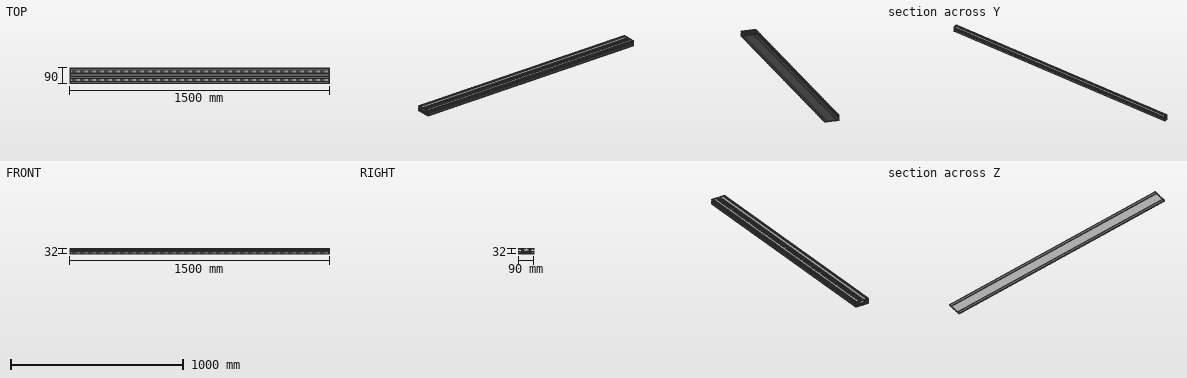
import cadquery as cq

length = 1500.0
width = 90.0
height = 32.0
corner_radius = 2.5

slot_opening = 8.2

side_slot_center = 22.4
side_slot_lip = 2.0
side_slot_depth = 17.7
side_slot_floor = 13.5
side_slot_roof = 29.5
side_slot_slope = 6.85

top_slot_lip = 2.6
top_slot_width = 33.0
top_slot_floor = 16.5
top_slot_slope = 3.0

side_chamber_wall = 2.0
side_chamber_width = 12.4
side_chamber_floor = 2.0
side_chamber_roof = 11.7
side_chamber_radius = 1.5

chamber_web = 1.1
center_chamber_floor = 4.5
center_chamber_roof = 12.0

screw_diameter = 7.3
screw_offset = 21.7
screw_center = 22.0

half_width = width / 2
mid_height = height / 2
side_chamber_outer = half_width - side_chamber_wall
side_chamber_inner = side_chamber_outer - side_chamber_width
center_chamber_width = 2 * (side_chamber_inner - chamber_web)
overcut = 1.0


def bar(y_min, y_max, z_min, z_max):
    """Full-length bar between Y limits and between heights above the underside."""
    return (
        cq.Workplane("YZ")
        .center((y_min + y_max) / 2, (z_min + z_max) / 2 - mid_height)
        .rect(y_max - y_min, z_max - z_min)
        .extrude(length / 2, both=True)
    )


def centered_bar(bar_width, z_min, z_max):
    """Full-length bar centred on the part's width."""
    return bar(-bar_width / 2, bar_width / 2, z_min, z_max)


def top_slot():
    """T-slot in the middle of the top."""
    opening = centered_bar(slot_opening, top_slot_floor, height + overcut)
    channel = centered_bar(top_slot_width, top_slot_floor, height - top_slot_lip)
    channel = channel.edges("|X and >Z").chamfer(top_slot_slope)
    return channel.union(opening)


def side_slot():
    """T-slot in the +Y side."""
    back = half_width - side_slot_depth
    opening = bar(
        half_width - side_slot_lip - overcut,
        half_width + overcut,
        side_slot_center - slot_opening / 2,
        side_slot_center + slot_opening / 2,
    )
    channel = bar(back, half_width - side_slot_lip, side_slot_floor, side_slot_roof)
    channel = channel.faces("<Y").edges(">Z").chamfer(side_slot_slope)
    return channel.union(opening)


def side_chamber():
    """Closed chamber with rounded corners below the +Y side slot."""
    chamber = bar(side_chamber_inner, side_chamber_outer, side_chamber_floor, side_chamber_roof)
    return chamber.edges("|X").fillet(side_chamber_radius)


def center_chamber():
    """Wide closed chamber below the top slot."""
    return centered_bar(center_chamber_width, center_chamber_floor, center_chamber_roof)


def screw_channel():
    """Round channel on the +Y side of the top slot."""
    return (
        cq.Workplane("YZ")
        .center(screw_offset, screw_center - mid_height)
        .circle(screw_diameter / 2)
        .extrude(length / 2, both=True)
    )


body = centered_bar(width, 0, height).edges("|X").fillet(corner_radius)
body = body.cut(top_slot()).cut(center_chamber())
for cutter in (side_slot(), side_chamber(), screw_channel()):
    body = body.cut(cutter).cut(cutter.mirror("XZ"))

result = body